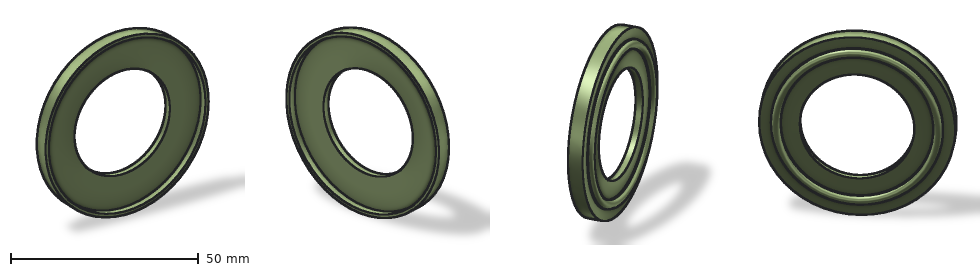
import cadquery as cq

outer_diameter = 52.5
bore_diameter = 30.65
total_thickness = 5.8
rim_thickness = 4.25
bore_length = 2.15
lip_inner_diameter = 50.4
bead_outer_diameter = 46.2
bead_base_width = 2.75
bead_tip_radius = 1.25
bore_edge_rise = 0.2

outer_radius = outer_diameter / 2
bore_radius = bore_diameter / 2
lip_inner_radius = lip_inner_diameter / 2
bead_outer_radius = bead_outer_diameter / 2
bead_inner_radius = bead_outer_radius - bead_base_width
bead_middle_radius = (bead_outer_radius + bead_inner_radius) / 2

face_x = -rim_thickness / 2
lip_end_x = rim_thickness / 2
bore_front_x = face_x - bore_edge_rise
web_back_x = bore_front_x + bore_length
bead_tip_x = lip_end_x - total_thickness
bead_tip_center_x = bead_tip_x + bead_tip_radius

section = (
    cq.Workplane("XY")
    .moveTo(web_back_x, bore_radius)
    .lineTo(web_back_x, lip_inner_radius)
    .lineTo(lip_end_x, lip_inner_radius)
    .lineTo(lip_end_x, outer_radius)
    .lineTo(face_x, outer_radius)
    .lineTo(face_x, bead_outer_radius)
    .lineTo(bead_tip_center_x, bead_middle_radius + bead_tip_radius)
    .threePointArc(
        (bead_tip_x, bead_middle_radius),
        (bead_tip_center_x, bead_middle_radius - bead_tip_radius),
    )
    .lineTo(face_x, bead_inner_radius)
    .lineTo(bore_front_x, bore_radius)
    .close()
)

result = section.revolve(360, (0, 0, 0), (1, 0, 0))